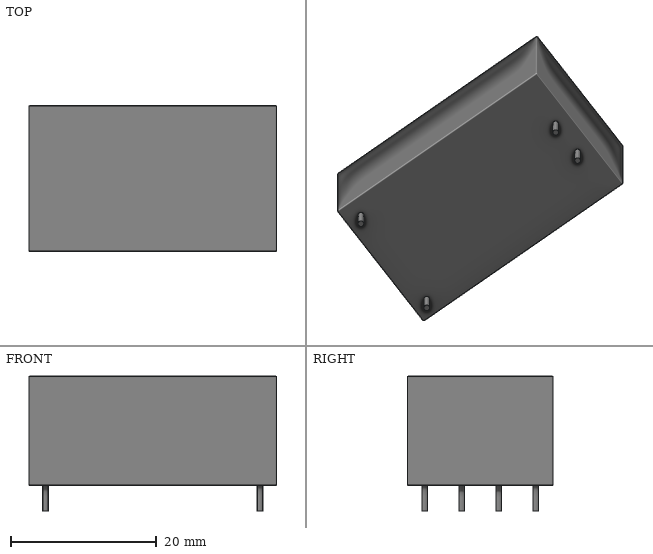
import cadquery as cq

case_length = 34.0
case_width = 20.0
case_height = 15.0
edge_radius = 0.2

pin_diameter = 0.8
pin_length = 3.5
pin_row_spacing = 29.4
grid_pitch = 2.54
near_pair_spacing = 2 * grid_pitch
far_pair_spacing = 6 * grid_pitch


def make_case():
    """Solid block with every edge rounded."""
    block = cq.Workplane("XY").box(
        case_length, case_width, case_height, centered=(True, True, False)
    )
    return block.edges().fillet(edge_radius)


def make_pin_pair(row_x, spacing):
    """Two pins placed symmetrically about the X axis, ending on the underside."""
    centers = [(row_x, side * spacing / 2) for side in (-1, 1)]
    return (
        cq.Workplane("XY")
        .pushPoints(centers)
        .circle(pin_diameter / 2)
        .extrude(-pin_length)
    )


near_pins = make_pin_pair(-pin_row_spacing / 2, near_pair_spacing)
far_pins = make_pin_pair(pin_row_spacing / 2, far_pair_spacing)

result = make_case().union(near_pins).union(far_pins)